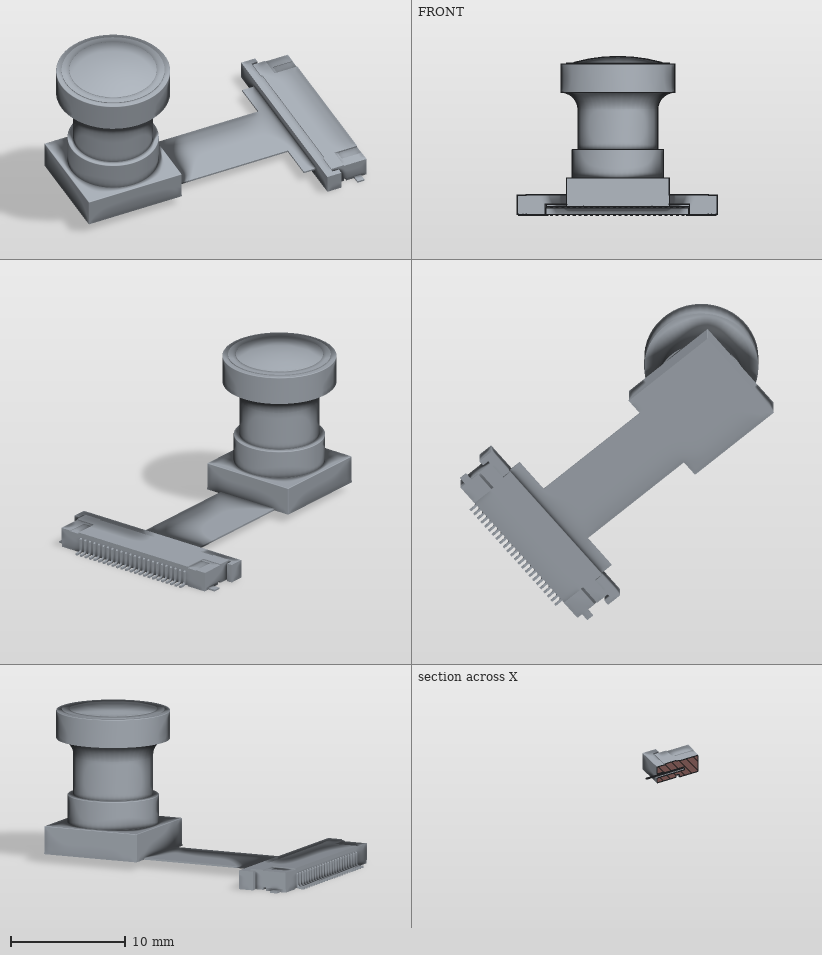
import cadquery as cq
block_side = 9.0
block_bottom = 0.8
block_height = 2.5
barrel_diameter = 8.0
barrel_height = 2.5
neck_diameter = 7.0
head_diameter = 10.0
neck_height = 3.5
head_height = 2.5
rim_diameter = 9.0
rim_height = 0.08
glass_diameter = 7.68
overall_height = 13.9
overall_length = 26.5

edge_radius = 0.05
foot_radius = 0.03

tail_width = 6.0
tail_end_width = 12.5
tail_thickness = 0.15
tail_end_start = 15.5
tail_end_tip = 19.35

connector_x = -0.05
housing_width = 15.95
housing_front = 17.35
housing_rear = 20.78
housing_bottom = 0.08
housing_top = 1.85
notch_width = 12.53
notch_depth = 0.13

latch_width = 17.5
latch_front = 16.62
latch_bottom = 0.1
latch_top = 1.78
ear_rear = 17.97
ear_thickness = 0.5
latch_opening_width = 12.61
latch_opening_top = 1.0
lip_top = 0.64
lip_width = 12.45

corner_width = 1.9
corner_length = 2.2
corner_depth = 0.08
corner_slot_width = 0.93
corner_slot_length = 1.93
corner_slot_depth = 0.13
underside_recess_top = 0.3

foot_inset = 0.05
foot_length = 1.93
tab_front = 19.58
tab_rear = 20.25
tab_reach = 0.65
tab_thickness = 0.15

pin_count = 24
pin_pitch = 0.5
pin_width = 0.19
pin_back = 20.9
pin_heel = 21.17
pin_foot_thickness = 0.19
pin_top = 1.4
pin_chamfer = 0.1
pin_bend = 0.15
contact_height = 0.08
contact_front = 16.95

block_top = block_bottom + block_height
barrel_top = block_top + barrel_height
flare_radius = (head_diameter - neck_diameter) / 2
neck_top = barrel_top + neck_height
head_bottom = neck_top + flare_radius
head_top = head_bottom + head_height
rim_top = head_top + rim_height
dome_bottom = rim_top + edge_radius
pin_tip = overall_length - head_diameter / 2
tail_top = block_bottom + tail_thickness


def box(x_min, x_max, y_min, y_max, z_min, z_max):
    """Box between two opposite corners."""
    return cq.Workplane("XY").box(
        x_max - x_min, y_max - y_min, z_max - z_min, centered=False
    ).translate((x_min, y_min, z_min))


def connector_box(width, y_min, y_max, z_min, z_max):
    """Box centred on the middle plane of the connector."""
    return box(connector_x - width / 2, connector_x + width / 2, y_min, y_max, z_min, z_max)


def side_box(side, inner, outer, y_min, y_max, z_min, z_max):
    """Box on one side (-1 or +1), between two distances from the connector's middle plane."""
    ends = sorted((connector_x + side * inner, connector_x + side * outer))
    return box(ends[0], ends[1], y_min, y_max, z_min, z_max)


def make_lens():
    """Barrel, flared neck, head and domed glass as one revolved profile with softened edges."""
    barrel_radius = barrel_diameter / 2
    neck_radius = neck_diameter / 2
    head_radius = head_diameter / 2
    rim_radius = rim_diameter / 2
    glass_radius = glass_diameter / 2
    dome_radius = glass_radius - edge_radius
    dome_rise = overall_height - dome_bottom
    sphere_radius = (dome_radius**2 + dome_rise**2) / (2 * dome_rise)
    profile = (
        cq.Workplane("XZ")
        .moveTo(0, block_top)
        .lineTo(barrel_radius + foot_radius, block_top)
        .radiusArc((barrel_radius, block_top + foot_radius), foot_radius)
        .lineTo(barrel_radius, barrel_top - edge_radius)
        .radiusArc((barrel_radius - edge_radius, barrel_top), -edge_radius)
        .lineTo(neck_radius + foot_radius, barrel_top)
        .radiusArc((neck_radius, barrel_top + foot_radius), foot_radius)
        .lineTo(neck_radius, neck_top)
        .radiusArc((head_radius, head_bottom), flare_radius)
        .lineTo(head_radius, head_top - edge_radius)
        .radiusArc((head_radius - edge_radius, head_top), -edge_radius)
        .lineTo(rim_radius, head_top)
        .lineTo(rim_radius, rim_top)
        .lineTo(glass_radius, rim_top)
        .radiusArc((dome_radius, dome_bottom), -edge_radius)
        .radiusArc((0, overall_height), -sphere_radius)
        .close()
    )
    return profile.revolve(360, (0, 0, 0), (0, 1, 0))


def make_tail():
    """Flat T-shaped tail from the block into the connector."""
    strip = box(-tail_width / 2, tail_width / 2, 0, tail_end_tip, block_bottom, tail_top)
    end = box(-tail_end_width / 2, tail_end_width / 2, tail_end_start, tail_end_tip, block_bottom, tail_top)
    return strip.union(end)


def make_camera():
    """Block with softened edges on a sharp base plate as thick as the tail, plus lens and tail."""
    half = block_side / 2
    base = box(-half, half, -half, half, block_bottom, tail_top)
    block = box(-half, half, -half, half, tail_top, block_top)
    block = block.edges("|Z or >Z").fillet(edge_radius)
    camera = block.union(base).union(make_lens())
    return camera.union(make_tail())


def make_housing():
    """Main block with the lip below the tail and a notch along its top front edge."""
    housing = connector_box(housing_width, housing_front, housing_rear, housing_bottom, housing_top)
    lip = connector_box(lip_width, latch_front, housing_front, housing_bottom, lip_top)
    notch = connector_box(notch_width, housing_front, housing_front + notch_depth, latch_top, housing_top)
    return housing.cut(notch).union(lip)


def make_latch():
    """Front bar with an opening for the tail and an ear at each end."""
    bar = connector_box(latch_width, latch_front, housing_front, latch_bottom, latch_top)
    latch = bar.cut(
        connector_box(latch_opening_width, latch_front, housing_front, latch_bottom, latch_opening_top)
    )
    half = latch_width / 2
    for side in (-1, 1):
        latch = latch.union(
            side_box(side, half - ear_thickness, half, housing_front, ear_rear, latch_bottom, latch_top)
        )
    return latch


def cut_corners(housing):
    """Recess both rear corners on the top and on the underside."""
    half = housing_width / 2
    inner = half - corner_width
    front = housing_rear - corner_length
    recess_floor = housing_top - corner_depth
    slot_front = housing_rear - corner_slot_length
    slot_floor = housing_top - corner_slot_depth
    for side in (-1, 1):
        top_recess = side_box(side, inner, half, front, housing_rear, recess_floor, housing_top)
        slot = side_box(
            side, inner, inner + corner_slot_width, slot_front, housing_rear, slot_floor, housing_top
        )
        underside = side_box(
            side, inner, half, front, housing_rear, housing_bottom, underside_recess_top
        )
        housing = housing.cut(top_recess).cut(slot).cut(underside)
    return housing


def make_solder_foot(side):
    """Foot under one rear corner, with its tab sticking out sideways."""
    half = housing_width / 2
    foot = side_box(
        side, half - corner_width, half - foot_inset,
        housing_rear - foot_length, housing_rear, 0, underside_recess_top,
    )
    tab = side_box(side, half - corner_width, half + tab_reach, tab_front, tab_rear, 0, tab_thickness)
    return foot.union(tab)


def make_pin(x):
    """Bent pin: a foot on the board and an upright leg against the housing."""
    profile = (
        cq.Workplane("YZ")
        .moveTo(housing_rear, housing_bottom)
        .lineTo(pin_heel, 0)
        .lineTo(pin_tip, 0)
        .lineTo(pin_tip, pin_foot_thickness)
        .lineTo(pin_back + pin_bend, pin_foot_thickness)
        .radiusArc((pin_back, pin_foot_thickness + pin_bend), pin_bend)
        .lineTo(pin_back, pin_top - pin_chamfer)
        .lineTo(pin_back - pin_chamfer, pin_top)
        .lineTo(housing_rear, pin_top)
        .close()
    )
    return profile.extrude(pin_width).translate((x - pin_width / 2, 0, 0))


def make_contact(x):
    """Contact below the tail, in line with a pin."""
    contact_top = lip_top + contact_height
    return box(x - pin_width / 2, x + pin_width / 2, contact_front, tail_end_tip, lip_top, contact_top)


def make_connector():
    tail_slot = box(
        -tail_end_width / 2, tail_end_width / 2, housing_front, tail_end_tip, lip_top, tail_top
    )
    connector = cut_corners(make_housing()).union(make_latch()).cut(tail_slot)
    for side in (-1, 1):
        connector = connector.union(make_solder_foot(side))
    for index in range(pin_count):
        x = connector_x + (index - (pin_count - 1) / 2) * pin_pitch
        connector = connector.union(make_pin(x)).union(make_contact(x))
    return connector


camera = make_camera()
connector = make_connector()
result = cq.Compound.makeCompound([camera.solids().val(), connector.solids().val()])